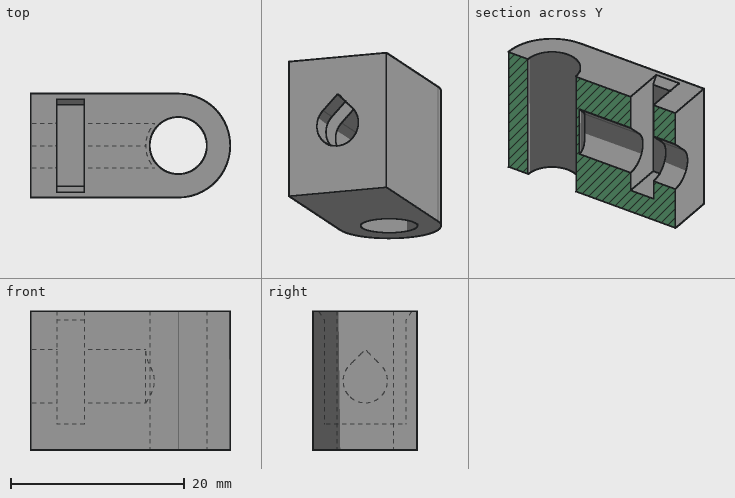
import cadquery as cq
import math

length = 23.0
width = 12.0
height = 16.0
end_radius = width / 2
flat_end_x = end_radius - length

bore_diameter = 6.55

bore_wall = 0.5

screw_diameter = 5.1
screw_z = height / 2

slot_thickness = 3.15
slot_offset = 3.0
slot_width = 9.4
slot_floor_z = 3.0
lead_in_width = 0.65
lead_in_depth = 1.0


def make_body():
    straight = cq.Workplane("XY").box(-flat_end_x, width, height, centered=(False, True, False))
    straight = straight.translate((flat_end_x, 0, 0))
    rounded_end = cq.Workplane("XY").circle(end_radius).extrude(height)
    return straight.union(rounded_end)


def make_bore():
    return cq.Workplane("XY").circle(bore_diameter / 2).extrude(height)


def make_screw_hole():
    """Circle topped by two 45 degree tangents, ending on a cylinder around the bore."""
    radius = screw_diameter / 2
    tangent = radius * math.sin(math.radians(45))
    peak = radius * math.sqrt(2)
    teardrop = (
        cq.Workplane("YZ", origin=(flat_end_x, 0, screw_z))
        .moveTo(-tangent, tangent)
        .threePointArc((0, -radius), (tangent, tangent))
        .lineTo(0, peak)
        .close()
        .extrude(-flat_end_x)
    )
    wall_cylinder = cq.Workplane("XY").circle(bore_diameter / 2 + bore_wall).extrude(height)
    return teardrop.cut(wall_cylinder)


def make_nut_slot():
    half_width = slot_width / 2
    half_mouth = half_width + lead_in_width
    lead_in_z = height - lead_in_depth
    outline = [
        (-half_width, slot_floor_z),
        (half_width, slot_floor_z),
        (half_width, lead_in_z),
        (half_mouth, height),
        (-half_mouth, height),
        (-half_width, lead_in_z),
    ]
    slot_start_x = flat_end_x + slot_offset
    return cq.Workplane("YZ", origin=(slot_start_x, 0, 0)).polyline(outline).close().extrude(slot_thickness)


result = make_body().cut(make_bore()).cut(make_screw_hole()).cut(make_nut_slot())